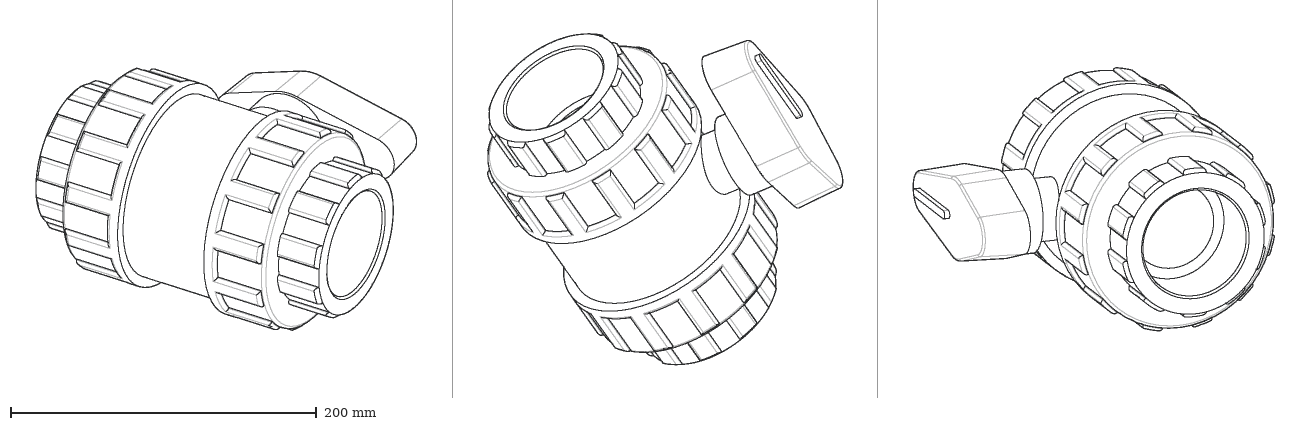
import cadquery as cq
import math

OVERALL_LENGTH = 215.0
OVERALL_WIDTH = 201.2
HALF_LENGTH = OVERALL_LENGTH / 2

BODY_DIAMETER = 125.1

NUT_INNER_X = 32.7
NUT_OUTER_X = 77.0
NUT_BASE_DIAMETER = 133.5
NUT_FLANGE_DIAMETER = 139.0
NUT_FLANGE_WIDTH = 8.8
NUT_FACE_ROUNDING = 2.2
NUT_RIB_ROUNDING = 2.4
NUT_RIB_COUNT = 12
NUT_RIB_WIDTH = 14.0
NUT_RIB_SETBACK = 2.8

SOCKET_DIAMETER = 96.3
SOCKET_RIB_COUNT = 10
SOCKET_RIB_HEIGHT = 2.5
SOCKET_RIB_WIDTH = 16.0
SOCKET_RIB_ROUNDING = 2.4
SOCKET_RIB_OVERLAP = 4.3

FLOW_DIAMETER = 57.8
PIPE_DIAMETER = 72.2
PIPE_DEPTH = 43.0
PIPE_MOUTH_CHAMFER = 1.5

STEM_DIAMETER = 41.7
HUB_DIAMETER = 55.7
HUB_BOTTOM_Y = 76.5

HANDLE_BOTTOM_Y = 95.7
HANDLE_TOP_Y = 128.1
HANDLE_MIDDLE_RADIUS = 29.5
HANDLE_TIP_RADIUS = 16.0
HANDLE_SHORT_END_X = -55.3
HANDLE_LONG_END_X = 80.2
HANDLE_DRAFT = 2.7
HANDLE_ROUNDING = 1.5

MARKER_START_X = 8.8
MARKER_END_X = 67.3
MARKER_WIDTH = 5.5
MARKER_TOP_Y = OVERALL_WIDTH - NUT_FLANGE_DIAMETER / 2


def cylinder_x(diameter, start_x, end_x):
    """Cylinder on the X axis between two X positions."""
    return cq.Workplane("YZ", origin=(start_x, 0, 0)).circle(diameter / 2).extrude(end_x - start_x)


def cylinder_y(diameter, start_y, end_y):
    """Cylinder on the Y axis between two Y positions."""
    return cq.Workplane("XZ", origin=(0, start_y, 0)).circle(diameter / 2).extrude(start_y - end_y)


def axial_bar(width, bottom_z, top_z, start_x, end_x):
    """Rectangular bar along X above the axis."""
    return cq.Workplane("XY", origin=(start_x, 0, bottom_z)).box(
        end_x - start_x, width, top_z - bottom_z, centered=(False, True, False)
    )


def around_x(shape, angle):
    """Turn a shape about the flow axis."""
    return shape.rotate((0, 0, 0), (1, 0, 0), angle)


def nut():
    """Union nut on the +X side: plain ring plus a flange with rounded axial ribs."""
    base = cylinder_x(NUT_BASE_DIAMETER, NUT_INNER_X, NUT_OUTER_X)
    base = base.faces(">X").edges().fillet(NUT_FACE_ROUNDING)

    outer_radius = NUT_FLANGE_DIAMETER / 2
    flange_end_x = NUT_INNER_X + NUT_FLANGE_WIDTH
    rib_end_x = NUT_OUTER_X - NUT_RIB_SETBACK
    raised = cylinder_x(NUT_FLANGE_DIAMETER, NUT_INNER_X, flange_end_x)
    rib_envelope = cylinder_x(NUT_FLANGE_DIAMETER, flange_end_x, rib_end_x)
    rib = axial_bar(NUT_RIB_WIDTH, 0, outer_radius, flange_end_x, rib_end_x)
    rib_pitch = 360 / NUT_RIB_COUNT
    for index in range(NUT_RIB_COUNT):
        round_topped_rib = around_x(rib, rib_pitch * (index + 0.5)).intersect(rib_envelope)
        raised = raised.union(round_topped_rib)

    rounded_zone = cq.selectors.BoxSelector(
        (NUT_INNER_X + NUT_RIB_ROUNDING, -NUT_FLANGE_DIAMETER, -NUT_FLANGE_DIAMETER),
        (NUT_OUTER_X, NUT_FLANGE_DIAMETER, NUT_FLANGE_DIAMETER),
    )
    raised = raised.faces("%CYLINDER").edges().edges(rounded_zone).fillet(NUT_RIB_ROUNDING)
    return base.union(raised)


def socket():
    """Pipe socket on the +X side, with ribs rounded along their sides and chamfered at the end."""
    rib_bottom = SOCKET_DIAMETER / 2 - SOCKET_RIB_OVERLAP
    rib_top = SOCKET_DIAMETER / 2 + SOCKET_RIB_HEIGHT
    rib_envelope = cylinder_x(2 * rib_top, NUT_INNER_X, HALF_LENGTH)
    chamfered_envelope = rib_envelope.faces(">X").chamfer(SOCKET_RIB_HEIGHT)
    rib = axial_bar(SOCKET_RIB_WIDTH, rib_bottom, rib_top, NUT_INNER_X, HALF_LENGTH)
    rib = rib.intersect(rib_envelope).faces(">Z").edges("|X").fillet(SOCKET_RIB_ROUNDING)
    rib = rib.intersect(chamfered_envelope)

    ribbed = cylinder_x(SOCKET_DIAMETER, NUT_INNER_X, HALF_LENGTH)
    for index in range(SOCKET_RIB_COUNT):
        ribbed = ribbed.union(around_x(rib, index * 360 / SOCKET_RIB_COUNT))
    return ribbed


def pipe_bore():
    """Pipe recess on the +X side with a chamfered mouth."""
    mouth_radius = PIPE_DIAMETER / 2 + PIPE_MOUTH_CHAMFER
    mouth = (
        cq.Workplane("YZ", origin=(HALF_LENGTH, 0, 0))
        .circle(mouth_radius)
        .workplane(offset=-PIPE_MOUTH_CHAMFER)
        .circle(PIPE_DIAMETER / 2)
        .loft()
    )
    return cylinder_x(PIPE_DIAMETER, HALF_LENGTH - PIPE_DEPTH, HALF_LENGTH).union(mouth)


def tangent_points(tip_x):
    """Upper tangent points of the line joining the middle circle and a tip circle."""
    slope = math.asin((HANDLE_MIDDLE_RADIUS - HANDLE_TIP_RADIUS) / abs(tip_x))
    normal_x = math.copysign(math.sin(slope), tip_x)
    normal_z = math.cos(slope)
    on_middle = (HANDLE_MIDDLE_RADIUS * normal_x, HANDLE_MIDDLE_RADIUS * normal_z)
    on_tip = (tip_x + HANDLE_TIP_RADIUS * normal_x, HANDLE_TIP_RADIUS * normal_z)
    return on_middle, on_tip


def below(point):
    """Mirror an outline point across the handle's long axis."""
    return (point[0], -point[1])


def handle():
    """Drafted handle: a wide middle that narrows to two round tips."""
    short_middle, short_tip = tangent_points(HANDLE_SHORT_END_X + HANDLE_TIP_RADIUS)
    long_middle, long_tip = tangent_points(HANDLE_LONG_END_X - HANDLE_TIP_RADIUS)
    grip = (
        cq.Workplane(cq.Plane(origin=(0, HANDLE_BOTTOM_Y, 0), xDir=(1, 0, 0), normal=(0, 1, 0)))
        .moveTo(*short_tip)
        .lineTo(*short_middle)
        .threePointArc((0, HANDLE_MIDDLE_RADIUS), long_middle)
        .lineTo(*long_tip)
        .threePointArc((HANDLE_LONG_END_X, 0), below(long_tip))
        .lineTo(*below(long_middle))
        .threePointArc((0, -HANDLE_MIDDLE_RADIUS), below(short_middle))
        .lineTo(*below(short_tip))
        .threePointArc((HANDLE_SHORT_END_X, 0), short_tip)
        .close()
        .extrude(HANDLE_TOP_Y - HANDLE_BOTTOM_Y, taper=HANDLE_DRAFT)
        .faces(">Y")
        .edges()
        .fillet(HANDLE_ROUNDING)
    )
    marker_length = MARKER_END_X - MARKER_START_X
    marker = (
        cq.Workplane("XZ", origin=((MARKER_START_X + MARKER_END_X) / 2, MARKER_TOP_Y, 0))
        .slot2D(marker_length, MARKER_WIDTH)
        .extrude(MARKER_TOP_Y - HANDLE_BOTTOM_Y)
    )
    return grip.union(marker)


body = cylinder_x(BODY_DIAMETER, -NUT_INNER_X, NUT_INNER_X)
stem = cylinder_y(STEM_DIAMETER, 0, HUB_BOTTOM_Y)
hub = cylinder_y(HUB_DIAMETER, HUB_BOTTOM_Y, HANDLE_BOTTOM_Y)
end = nut().union(socket())
bore = pipe_bore()

result = (
    body.union(stem)
    .union(hub)
    .union(handle())
    .union(end)
    .union(end.mirror("YZ"))
    .cut(cylinder_x(FLOW_DIAMETER, -HALF_LENGTH, HALF_LENGTH))
    .cut(bore)
    .cut(bore.mirror("YZ"))
)